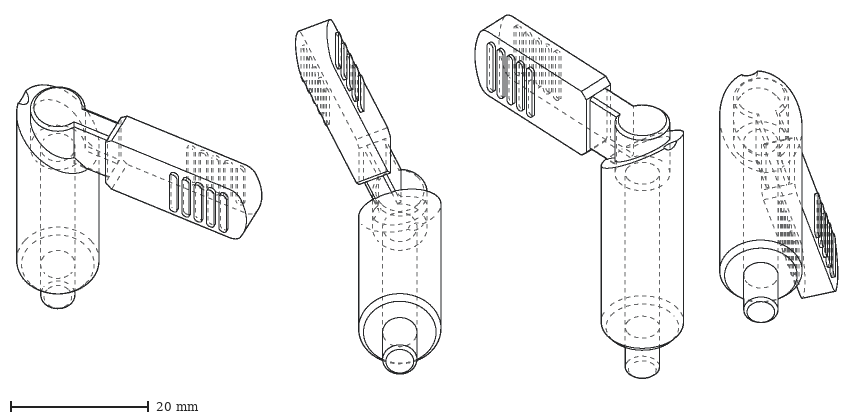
import cadquery as cq
import math

SLEEVE_RADIUS = 6.0
SLEEVE_BOTTOM = 8.0
SLEEVE_CHAMFER_HEIGHT = 0.95
SLEEVE_CHAMFER_WIDTH = 0.7
SLANT_HIGH = 45.95
SLANT_LOW = 37.15
NOTCH_RADIUS = 1.4
NOTCH_BOTTOM = 45.1

PIN_RADIUS = 2.5
HUB_RADIUS = 4.0
PLUNGER_CHAMFER = 0.5
ARM_WIDTH = 3.55
ARM_HEIGHT = 10.0
PLUNGER_TOP = 47.0
ARM_BOTTOM = PLUNGER_TOP - ARM_HEIGHT

GRIP_START = 9.0
GRIP_END = 32.0
GRIP_HEIGHT = 12.0
GRIP_THICKNESS = 5.0
GRIP_TOP = 48.0
GRIP_CENTER_Z = GRIP_TOP - GRIP_HEIGHT / 2
GRIP_CHAMFER = 1.0
GRIP_END_RADIUS = 12.0
GRIP_CORNER_RADIUS = 2.0

RIB_COUNT = 5
RIB_PITCH = 2.0
RIB_LAST_X = 28.35
RIB_WIDTH = 1.2
RIB_LENGTH = 9.0
RIB_PROUD = 0.5


def make_plunger():
    pin = (
        cq.Workplane("XY")
        .circle(PIN_RADIUS)
        .extrude(PLUNGER_TOP)
        .faces("<Z")
        .chamfer(PLUNGER_CHAMFER)
    )
    hub = (
        cq.Workplane("XY", origin=(0, 0, ARM_BOTTOM))
        .circle(HUB_RADIUS)
        .extrude(ARM_HEIGHT)
        .faces(">Z")
        .chamfer(PLUNGER_CHAMFER)
    )
    arm = (
        cq.Workplane("XY", origin=(0, 0, ARM_BOTTOM))
        .box(GRIP_START, ARM_WIDTH, ARM_HEIGHT, centered=(False, True, False))
        .edges("|X")
        .chamfer(PLUNGER_CHAMFER)
    )
    return pin.union(hub).union(arm)


def make_sleeve(plunger):
    outline = (
        cq.Workplane("XZ")
        .polyline([
            (-SLEEVE_RADIUS, SLEEVE_BOTTOM),
            (SLEEVE_RADIUS, SLEEVE_BOTTOM),
            (SLEEVE_RADIUS, SLANT_LOW),
            (-SLEEVE_RADIUS, SLANT_HIGH),
        ])
        .close()
        .extrude(SLEEVE_RADIUS, both=True)
    )
    barrel = (
        cq.Workplane("XY", origin=(0, 0, SLEEVE_BOTTOM))
        .circle(SLEEVE_RADIUS)
        .extrude(SLANT_HIGH - SLEEVE_BOTTOM)
        .faces("<Z")
        .chamfer(SLEEVE_CHAMFER_HEIGHT, SLEEVE_CHAMFER_WIDTH)
    )
    notch = (
        cq.Workplane("YZ", origin=(-SLEEVE_RADIUS, 0, 0))
        .center(0, NOTCH_BOTTOM + NOTCH_RADIUS)
        .circle(NOTCH_RADIUS)
        .extrude(SLEEVE_RADIUS)
    )
    return barrel.intersect(outline).cut(notch).cut(plunger)


def make_grip():
    half_height = GRIP_HEIGHT / 2
    bulge_x = GRIP_END - GRIP_END_RADIUS
    corner_z = half_height - GRIP_CORNER_RADIUS
    center_distance = GRIP_END_RADIUS - GRIP_CORNER_RADIUS
    tangent_angle = math.asin(corner_z / center_distance)
    corner_x = bulge_x + center_distance * math.cos(tangent_angle)
    tangent_x = bulge_x + GRIP_END_RADIUS * math.cos(tangent_angle)
    tangent_z = GRIP_END_RADIUS * math.sin(tangent_angle)
    middle_angle = (tangent_angle + math.pi / 2) / 2
    middle_x = corner_x + GRIP_CORNER_RADIUS * math.cos(middle_angle)
    middle_z = corner_z + GRIP_CORNER_RADIUS * math.sin(middle_angle)

    grip = (
        cq.Workplane("XZ", origin=(0, 0, GRIP_CENTER_Z))
        .moveTo(GRIP_START, GRIP_CHAMFER - half_height)
        .lineTo(GRIP_START + GRIP_CHAMFER, -half_height)
        .lineTo(corner_x, -half_height)
        .threePointArc((middle_x, -middle_z), (tangent_x, -tangent_z))
        .threePointArc((GRIP_END, 0), (tangent_x, tangent_z))
        .threePointArc((middle_x, middle_z), (corner_x, half_height))
        .lineTo(GRIP_START + GRIP_CHAMFER, half_height)
        .lineTo(GRIP_START, half_height - GRIP_CHAMFER)
        .close()
        .extrude(GRIP_THICKNESS / 2, both=True)
    )
    rib_points = [(RIB_LAST_X - i * RIB_PITCH, 0) for i in range(RIB_COUNT)]
    ribs = (
        cq.Workplane("XZ", origin=(0, 0, GRIP_CENTER_Z))
        .pushPoints(rib_points)
        .slot2D(RIB_LENGTH, RIB_WIDTH, 90)
        .extrude(GRIP_THICKNESS / 2 + RIB_PROUD, both=True)
    )
    return grip.union(ribs)


plunger = make_plunger()
sleeve = make_sleeve(plunger)
grip = make_grip()

result = cq.Compound.makeCompound([
    sleeve.solids().val(),
    plunger.solids().val(),
    grip.solids().val(),
])